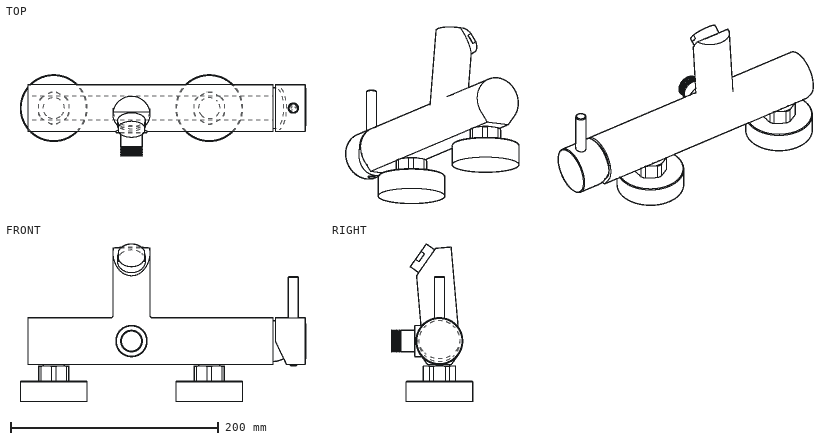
import cadquery as cq
import math


body_radius = 22.5
body_length = 236.5
half_flat = 11.5

inlet_spacing = 150.0
first_inlet_x = 24.8
inlet_positions = (first_inlet_x, first_inlet_x + inlet_spacing)
neck_radius = 10.2
nut_top = -24.0
nut_across_flats = 29.2
nut_corner_radius = 15.7
nut_bevel = 0.5
flange_radius = 32.3
flange_top = -38.5
flange_bottom = -58.5
flange_bevel = 0.8

outlet_x = first_inlet_x + inlet_spacing / 2

boss_radius = 15.2
boss_reach = 24.0
boss_bevel = 0.5
connector_radius = 10.5
connector_reach = 46.0
thread_length = 9.0
thread_turns = 6
thread_depth = 0.8

spout_radius = 18.0
spout_lean = 5.0
spout_length = 89.6
spout_base_y = 1.5
spout_fillet = 2.0
nozzle_tilt = 35.0
nozzle_radius = 13.5
nozzle_length = 10.0
nozzle_tip_y = -20.5
nozzle_tip_z = 82.8
nozzle_flat_offset = 12.7
nozzle_flat_depth = 4.0
nozzle_sink = 1.5

ball_radius = 19.9
cap_start = 238.5
cap_end = 268.5
cap_bevel = 0.8
cap_crown = 0.5
cap_cut_run = 10.8
lever_x = 256.0
lever_radius = 5.0
lever_top = 62.3
lever_bevel = 0.8
screw_radius = 3.3
screw_bottom = -24.3
screw_bevel = 1.5


def make_body():
    """Bar with sides tangent to the round part, ending in a flat at the bottom."""
    corner_angle = 2 * math.atan(half_flat / body_radius)
    tangent_y = body_radius * math.sin(corner_angle)
    tangent_z = -body_radius * math.cos(corner_angle)
    return (
        cq.Workplane("YZ")
        .moveTo(tangent_y, tangent_z)
        .threePointArc((0, body_radius), (-tangent_y, tangent_z))
        .lineTo(-half_flat, -body_radius)
        .lineTo(half_flat, -body_radius)
        .close()
        .extrude(body_length)
    )


def rod_z(x, radius, bottom, top):
    """Upright round rod at the given X."""
    return cq.Workplane("XY", origin=(x, 0, bottom)).circle(radius).extrude(top - bottom)


def make_inlet(x):
    """Neck, hexagon nut with rounded corners and round wall flange."""
    nut_height = nut_top - flange_top
    nut_circle = nut_across_flats / math.cos(math.pi / 6)
    hexagon = (
        cq.Workplane("XY", origin=(x, 0, flange_top))
        .transformed(rotate=(0, 0, 30))
        .polygon(6, nut_circle)
        .extrude(nut_height)
    )
    corner_limit = rod_z(x, nut_corner_radius, flange_top, nut_top).faces(">Z").chamfer(nut_bevel)
    neck = rod_z(x, neck_radius, nut_top, -body_radius / 2)
    flange = rod_z(x, flange_radius, flange_bottom, flange_top).faces(">Z").chamfer(flange_bevel)
    return flange.union(hexagon.intersect(corner_limit)).union(neck)


def make_seat_plane():
    """Plane of the oblique cut that carries the nozzle, facing along the nozzle axis."""
    tilt = math.radians(nozzle_tilt)
    seat_y = nozzle_tip_y + nozzle_length * math.cos(tilt)
    seat_z = nozzle_tip_z - nozzle_length * math.sin(tilt)
    return cq.Plane(
        origin=(outlet_x, seat_y, seat_z),
        xDir=(1, 0, 0),
        normal=(0, -math.cos(tilt), math.sin(tilt)),
    )


def make_spout():
    """Leaning round column with an oblique cut at its top."""
    lean = math.radians(spout_lean)
    column_plane = cq.Plane(
        origin=(outlet_x, spout_base_y, 0),
        xDir=(1, 0, 0),
        normal=(0, -math.sin(lean), math.cos(lean)),
    )
    column = cq.Workplane(column_plane).circle(spout_radius).extrude(spout_length)
    cut_size = 4 * spout_radius
    oblique_cut = cq.Workplane(make_seat_plane()).rect(cut_size, cut_size).extrude(cut_size)
    return column.cut(oblique_cut)


def blend_spout_joint(part):
    """Round the seam where the spout meets the body."""
    reach = spout_radius + 2 * spout_fillet
    seam_box = cq.selectors.BoxSelector(
        (outlet_x - reach, -reach, 0),
        (outlet_x + reach, reach, body_radius),
    )
    return part.edges(seam_box).fillet(spout_fillet)


def make_nozzle():
    """Round nozzle, sunk slightly into the spout, with a wrench flat on each side of its tip."""
    seat = cq.Workplane(make_seat_plane())
    nozzle = (
        seat.workplane(offset=-nozzle_sink)
        .circle(nozzle_radius)
        .extrude(nozzle_sink + nozzle_length)
    )
    outer_width = 4 * nozzle_radius
    flats = (
        seat.workplane(offset=nozzle_length - nozzle_flat_depth)
        .rect(outer_width, outer_width)
        .rect(2 * nozzle_flat_offset, outer_width)
        .extrude(nozzle_flat_depth)
    )
    return nozzle.cut(flats)


def rod_y(radius, reach):
    """Round rod from the body axis towards -Y at the outlets."""
    return cq.Workplane("XZ", origin=(outlet_x, 0, 0)).circle(radius).extrude(reach)


def make_hose_connector():
    """Boss and pipe end with V-shaped thread grooves."""
    connector = rod_y(connector_radius, connector_reach)
    pitch = thread_length / thread_turns
    root_radius = connector_radius - thread_depth
    for turn in range(thread_turns):
        groove_start = thread_length - connector_reach - turn * pitch
        groove = (
            cq.Workplane("XY", origin=(outlet_x, 0, 0))
            .moveTo(connector_radius, groove_start)
            .lineTo(root_radius, groove_start - pitch / 2)
            .lineTo(connector_radius, groove_start - pitch)
            .close()
            .revolve(360, (0, 0, 0), (0, 1, 0))
        )
        connector = connector.cut(groove)
    boss = rod_y(boss_radius, boss_reach).faces("<Y").chamfer(boss_bevel)
    return boss.union(connector)


def make_cap():
    """Round cap with a bevelled, slightly domed end and a slanted lower front."""
    rim_x = cap_end - cap_crown
    rim_radius = body_radius - cap_bevel
    dome_radius = (rim_radius**2 + cap_crown**2) / (2 * cap_crown)
    cap = (
        cq.Workplane("XY")
        .moveTo(cap_start, 0)
        .lineTo(cap_start, body_radius)
        .lineTo(rim_x - cap_bevel, body_radius)
        .lineTo(rim_x, rim_radius)
        .radiusArc((cap_end, 0), dome_radius)
        .close()
        .revolve(360, (0, 0, 0), (1, 0, 0))
    )
    slant = (
        cq.Workplane("XZ", origin=(cap_start, 0, 0))
        .polyline([(0, 0), (cap_cut_run, -body_radius), (0, -body_radius)])
        .close()
        .extrude(body_radius, both=True)
    )
    return cap.cut(slant)


def make_control():
    """Cap carried on a ball, with the lever on top and a screw head below."""
    ball = cq.Workplane("XY", origin=(body_length, 0, 0)).sphere(ball_radius)
    lever = rod_z(lever_x, lever_radius, 0, lever_top).faces(">Z").chamfer(lever_bevel)
    screw = rod_z(lever_x, screw_radius, screw_bottom, 0).faces("<Z").chamfer(screw_bevel)
    return make_cap().union(ball).union(lever).union(screw)


result = blend_spout_joint(make_body().union(make_spout()))
result = result.union(make_nozzle()).union(make_hose_connector()).union(make_control())
for inlet_x in inlet_positions:
    result = result.union(make_inlet(inlet_x))